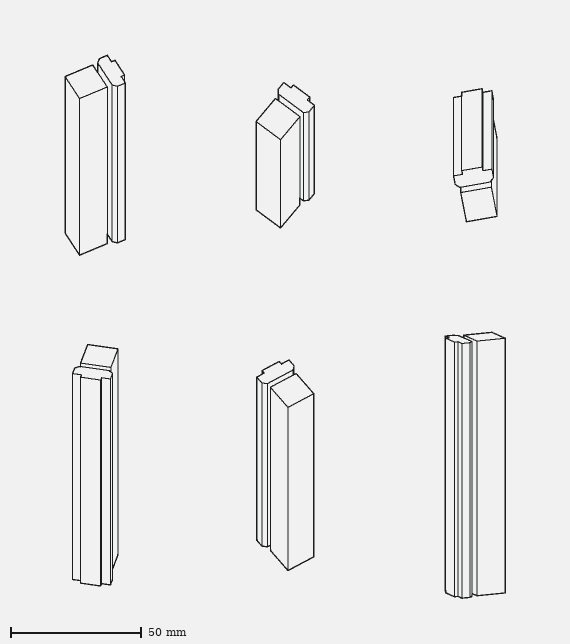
import cadquery as cq

LENGTH = 100.0
GAP = 2.1

BAR_SIDE = 12.0

FLANGE_WIDTH = 15.0
FLANGE_DEPTH = 5.0
FLANGE_CHAMFER = 1.5
TONGUE_WIDTH = 8.0
TONGUE_DEPTH = 1.5

FLANGE_FRONT = BAR_SIDE + GAP
FLANGE_BACK = FLANGE_FRONT + FLANGE_DEPTH
TONGUE_BACK = FLANGE_BACK + TONGUE_DEPTH


def make_bar():
    """Plain square bar, centred on X with its front face at Y = 0."""
    return cq.Workplane("XY").rect(BAR_SIDE, BAR_SIDE).extrude(LENGTH).translate((0, BAR_SIDE / 2, 0))


def make_strip():
    """T-section strip: chamfered flange facing the bar, narrow tongue on the back."""
    half_flange = FLANGE_WIDTH / 2
    half_tongue = TONGUE_WIDTH / 2
    half_front = half_flange - FLANGE_CHAMFER
    right_half = [
        (half_front, FLANGE_FRONT),
        (half_flange, FLANGE_FRONT + FLANGE_CHAMFER),
        (half_flange, FLANGE_BACK),
        (half_tongue, FLANGE_BACK),
        (half_tongue, TONGUE_BACK),
    ]
    left_half = [(-x, y) for x, y in reversed(right_half)]
    return cq.Workplane("XY").polyline(right_half + left_half).close().extrude(LENGTH)


bar = make_bar()
strip = make_strip()

result = cq.Compound.makeCompound([bar.val(), strip.val()])